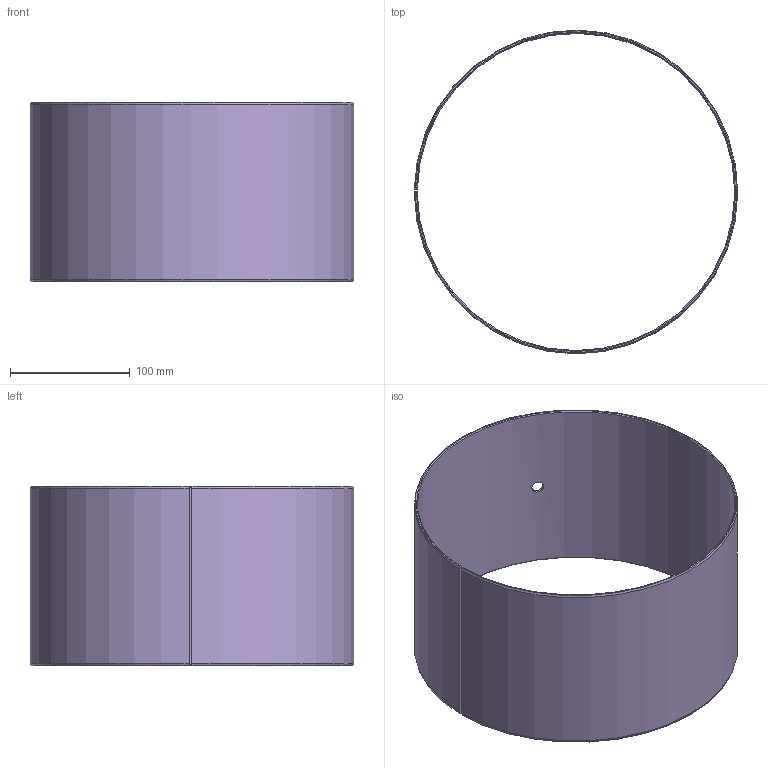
import cadquery as cq
import math

outer_diameter = 270.0
wall_thickness = 2.5
height = 150.0
slit_angle = 1.0

outer_bevel_height = 1.8
outer_bevel_angle = 20.0
inner_bevel = 0.8

hole_diameter = 10.0
hole_angle = 59.0
hole_height = height / 2

outer_radius = outer_diameter / 2
inner_radius = outer_radius - wall_thickness
outer_bevel_depth = outer_bevel_height * math.tan(math.radians(outer_bevel_angle))
outer_rim_radius = outer_radius - outer_bevel_depth
inner_rim_radius = inner_radius + inner_bevel


def make_band():
    """Split band standing on Z = 0, swept from -X through -Y, +X and +Y."""
    wall_section = (
        cq.Workplane("XZ")
        .moveTo(-inner_radius, inner_bevel)
        .lineTo(-inner_radius, height - inner_bevel)
        .lineTo(-inner_rim_radius, height)
        .lineTo(-outer_rim_radius, height)
        .lineTo(-outer_radius, height - outer_bevel_height)
        .lineTo(-outer_radius, outer_bevel_height)
        .lineTo(-outer_rim_radius, 0)
        .lineTo(-inner_rim_radius, 0)
        .close()
    )
    return wall_section.revolve(360 - slit_angle, (0, 0, 0), (0, 1, 0))


def make_hole():
    """Cylinder running outwards from the band axis through one side of the wall."""
    drill = cq.Workplane("YZ").circle(hole_diameter / 2).extrude(outer_diameter)
    drill = drill.translate((0, 0, hole_height))
    return drill.rotate((0, 0, 0), (0, 0, 1), hole_angle)


result = make_band().cut(make_hole())